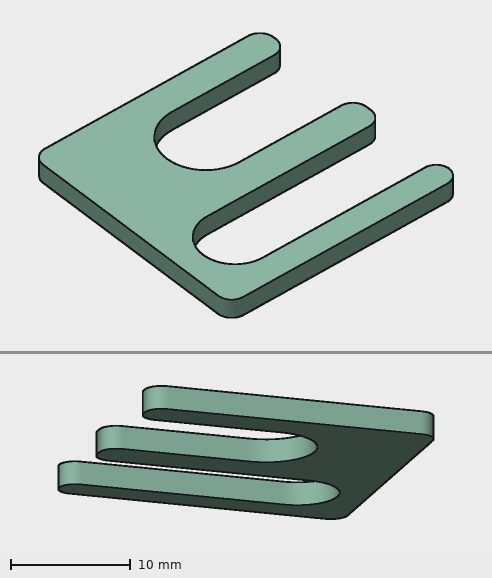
import cadquery as cq

side = 25.4
thickness = 2.0
corner_radius = 1.5

wide_slot_width = 8.6
wide_slot_center_x = -5.08
wide_slot_floor = 8.35
narrow_slot_width = 7.09
narrow_slot_center_x = 6.35
narrow_slot_floor = 2.51

tip_radius = corner_radius
thin_tip_radius = 1.4


def slot_cutter(center_x, width, floor):
    """Slot with a half-round bottom, running out through the +Y edge."""
    radius = width / 2
    bottom_y = floor - side / 2
    arc_y = bottom_y + radius
    return (
        cq.Workplane("XY")
        .moveTo(center_x - radius, side / 2)
        .lineTo(center_x - radius, arc_y)
        .threePointArc((center_x, bottom_y), (center_x + radius, arc_y))
        .lineTo(center_x + radius, side / 2)
        .close()
        .extrude(thickness)
    )


def round_tip(body, left_x, right_x, radius):
    """Round both upright edges at the +Y end of one prong."""
    margin = 0.03
    tip_edges = cq.selectors.BoxSelector(
        (left_x - margin, side / 2 - margin, -margin),
        (right_x + margin, side / 2 + margin, thickness + margin),
    )
    return body.edges("|Z").edges(tip_edges).fillet(radius)


plate = cq.Workplane("XY").rect(side, side).extrude(thickness)
plate = plate.edges("|Z and <Y").fillet(corner_radius)
plate = plate.cut(slot_cutter(wide_slot_center_x, wide_slot_width, wide_slot_floor))
plate = plate.cut(slot_cutter(narrow_slot_center_x, narrow_slot_width, narrow_slot_floor))

wide_slot_left = wide_slot_center_x - wide_slot_width / 2
wide_slot_right = wide_slot_center_x + wide_slot_width / 2
narrow_slot_left = narrow_slot_center_x - narrow_slot_width / 2
narrow_slot_right = narrow_slot_center_x + narrow_slot_width / 2

plate = round_tip(plate, -side / 2, wide_slot_left, tip_radius)
plate = round_tip(plate, wide_slot_right, narrow_slot_left, tip_radius)
plate = round_tip(plate, narrow_slot_right, side / 2, thin_tip_radius)

result = plate